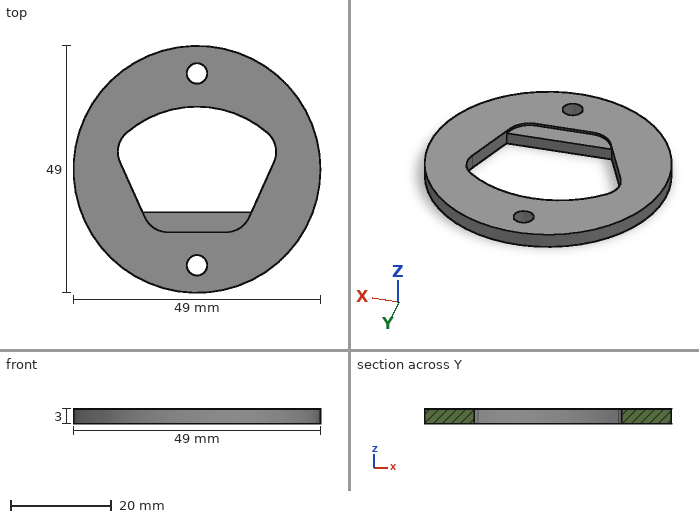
import cadquery as cq

plate_diameter = 48.96
plate_thickness = 3.0

screw_hole_diameter = 4.0
screw_hole_offset = 19.0

opening_top_y = 12.4
opening_bottom_y = -12.45
opening_bottom_half_width = 9.0
opening_shoulder_half_width = 16.6
opening_shoulder_y = 4.5
opening_corner_radius = 5.0

ledge_edge_y = -8.48
ledge_depth = 0.5
ledge_thickness = plate_thickness - ledge_depth


def make_opening():
    """Full-height body of the opening: narrow flat end, flared sides, arched top."""
    return (
        cq.Workplane("XY")
        .moveTo(-opening_bottom_half_width, opening_bottom_y)
        .lineTo(opening_bottom_half_width, opening_bottom_y)
        .lineTo(opening_shoulder_half_width, opening_shoulder_y)
        .threePointArc((0, opening_top_y), (-opening_shoulder_half_width, opening_shoulder_y))
        .close()
        .extrude(plate_thickness)
        .edges("|Z")
        .fillet(opening_corner_radius)
    )


def make_ledge_block():
    """Block covering the narrow end of the opening, up to the straight ledge edge."""
    return cq.Workplane("XY").box(
        2 * opening_shoulder_half_width,
        ledge_edge_y - opening_bottom_y,
        ledge_thickness,
        centered=(True, False, False),
    ).translate((0, opening_bottom_y, 0))


def make_plate():
    """Round plate with its two screw holes."""
    return (
        cq.Workplane("XY")
        .circle(plate_diameter / 2)
        .extrude(plate_thickness)
        .faces(">Z")
        .workplane()
        .pushPoints([(0, screw_hole_offset), (0, -screw_hole_offset)])
        .hole(screw_hole_diameter)
    )


opening_cut = make_opening().cut(make_ledge_block())
result = make_plate().cut(opening_cut)